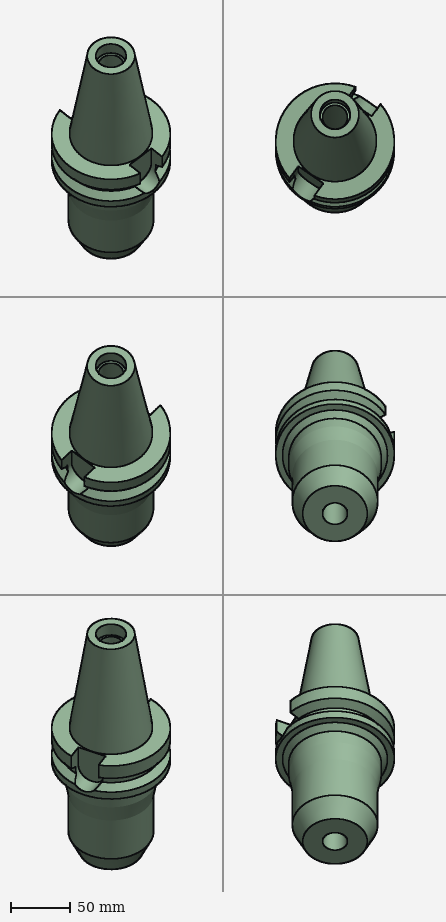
import cadquery as cq
import math


gauge_radius = 69.85 / 2
taper_length = 101.8
taper_ratio = 7 / 24
taper_end_radius = gauge_radius - taper_length * taper_ratio / 2

flange_radius = 50.0
flange_top = -1.5
flange_bottom = -38.0
groove_center = -22.8
groove_root_radius = 42.6
groove_root_width = 6.7
groove_flank_angle = 30.0
groove_depth = flange_radius - groove_root_radius
groove_flank_height = groove_depth * math.tan(math.radians(groove_flank_angle))
groove_root_top = groove_center + groove_root_width / 2
groove_root_bottom = groove_center - groove_root_width / 2

neck_radius = 39.0
relief_height = 5.2
neck_bottom = -56.5
body_radius = 36.0
neck_cone_angle = 10.0
nose_end_radius = 27.2
nose_cone_height = 19.2
nose_end = -135.0
neck_cone_height = (neck_radius - body_radius) / math.tan(math.radians(neck_cone_angle))

slot_width = 25.7
slot_bottom = -34.0
slot_floor_distance = 35.4
slot_round_center = slot_bottom + slot_width / 2

through_radius = 10.5
counterbore_radius = 12.75
counterbore_depth = 12.0


def make_body():
    """Revolve the outer profile around Z."""
    profile = (
        cq.Workplane("XZ")
        .moveTo(0, taper_length)
        .lineTo(taper_end_radius, taper_length)
        .lineTo(gauge_radius, 0)
        .lineTo(gauge_radius, flange_top)
        .lineTo(flange_radius, flange_top)
        .lineTo(flange_radius, groove_root_top + groove_flank_height)
        .lineTo(groove_root_radius, groove_root_top)
        .lineTo(groove_root_radius, groove_root_bottom)
        .lineTo(flange_radius, groove_root_bottom - groove_flank_height)
        .lineTo(flange_radius, flange_bottom)
        .lineTo(neck_radius + relief_height, flange_bottom)
        .lineTo(neck_radius, flange_bottom - relief_height)
        .lineTo(neck_radius, neck_bottom)
        .lineTo(body_radius, neck_bottom - neck_cone_height)
        .lineTo(body_radius, nose_end + nose_cone_height)
        .lineTo(nose_end_radius, nose_end)
        .lineTo(0, nose_end)
        .close()
    )
    return profile.revolve(360, (0, 0, 0), (0, 1, 0))


def make_drive_slot(side):
    """Round-ended cutter for the drive slot on the +X (1) or -X (-1) side."""
    half_width = slot_width / 2
    return (
        cq.Workplane("YZ", origin=(side * slot_floor_distance, 0, 0))
        .moveTo(-half_width, flange_top)
        .lineTo(-half_width, slot_round_center)
        .threePointArc((0, slot_bottom), (half_width, slot_round_center))
        .lineTo(half_width, flange_top)
        .close()
        .extrude(side * (flange_radius - slot_floor_distance))
    )


def make_bore():
    """Through hole with a wider counterbore at the small end of the taper."""
    through_hole = (
        cq.Workplane("XY", origin=(0, 0, nose_end))
        .circle(through_radius)
        .extrude(taper_length - nose_end)
    )
    counterbore = (
        cq.Workplane("XY", origin=(0, 0, taper_length))
        .circle(counterbore_radius)
        .extrude(-counterbore_depth)
    )
    return through_hole.union(counterbore)


result = make_body()
for slot_side in (-1, 1):
    result = result.cut(make_drive_slot(slot_side))
result = result.cut(make_bore())